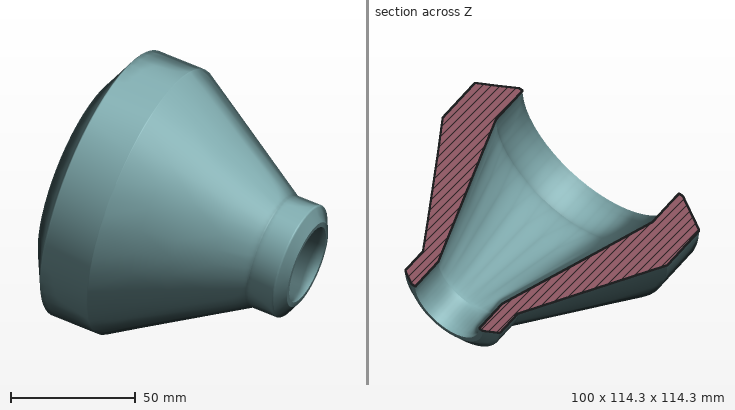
import cadquery as cq
import math

length = 100.0
large_diameter = 114.3
large_bore = 79.3
small_diameter = 48.3
small_bore = 32.3

large_end_length = 30.0
small_end_length = 15.1
edge_round = 1.0
bore_cone_start = 17.4
land = 2.1
tolerance = 0.01
bevel_angle = 30.0

large_radius = large_diameter / 2
small_radius = small_diameter / 2
large_bore_radius = large_bore / 2
small_bore_radius = small_bore / 2
cone_start = large_end_length
cone_end = length - small_end_length


def bevel_depth(outer_radius, bore_radius):
    """Axial depth of a weld bevel that leaves the land around the bore."""
    return (outer_radius - bore_radius - land) * math.tan(math.radians(bevel_angle))


large_bevel = bevel_depth(large_radius, large_bore_radius)
small_bevel = bevel_depth(small_radius, small_bore_radius)

outer_wall = [
    (0, large_bore_radius + land),
    (large_bevel, large_radius),
    (cone_start, large_radius),
    (cone_end, small_radius),
    (length - small_bevel, small_radius),
    (length, small_bore_radius + land),
]
inner_wall = [
    (length, small_bore_radius),
    (cone_end, small_bore_radius),
    (bore_cone_start, large_bore_radius),
    (0, large_bore_radius),
]

body = (
    cq.Workplane("XY")
    .polyline(outer_wall + inner_wall)
    .close()
    .revolve(360, (0, 0, 0), (1, 0, 0))
)


def is_ridge(edge):
    """True for a circle lying on either outer cylinder."""
    return any(abs(edge.radius() - radius) < tolerance for radius in (large_radius, small_radius))


ridges = [edge for edge in body.edges("%CIRCLE").vals() if is_ridge(edge)]
result = body.newObject(ridges).fillet(edge_round)